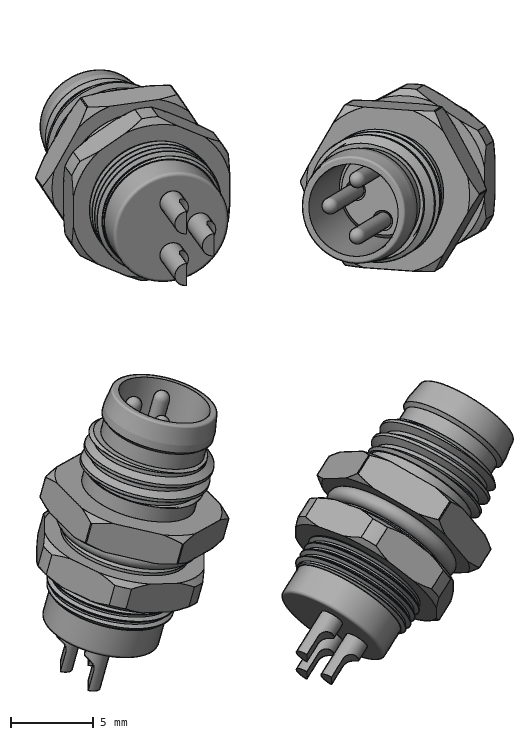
import cadquery as cq
import math


nose_tip_radius = 3.33
nose_radius = 3.5
nose_tip_round = 0.15
nose_taper_end = 1.22
nose_straight_end = 1.73
neck_start = 1.96
neck_radius = 3.25
thread_major_radius = 4.0
collar_radius = 3.57
barrel_radius = 3.5
rear_radius = 3.65
rear_end = 16.0
rear_round = 0.2

hex_across_flats = 10.0
hex_thickness = 2.0
hex_chamfer_length = 0.31
flange_start = 6.5
flange_corner_radius = 5.75
flange_face_radius = 5.24
nut_start = 10.0
nut_corner_radius = 5.495
nut_face_radius = 5.1

mating_thread_start = 3.0
mating_thread_end = 5.5
mating_pitch = 1.0
mating_root_radius = 3.47
mating_crest_width = 0.2
mating_root_width = 0.25
mating_crest_at_top = 3.35

shank_start = 9.55
shank_chamfer = 0.25
shank_end = nut_start + 0.2 * hex_thickness
mounting_thread_start = nut_start + 0.3 * hex_thickness
mounting_thread_end = 14.0
mounting_pitch = 0.5
mounting_root_radius = 3.75
mounting_crest_width = 0.06
mounting_root_width = 0.1
mounting_crest_at_top = 9.5

thread_end_chamfer = 0.3
thread_blank_clearance = 0.2
ridge_embed = 0.1

ring_section_radius = 0.51
ring_centre_radius = 4.0
ring_x = 8.99

socket_radius = 2.87
socket_floor_radius = 2.65
socket_depth = 5.5
contact_circle_radius = 1.75
contact_pin_radius = 0.5
contact_pin_tip = 0.25
contact_countersink_radius = 0.63
contact_tail_radius = 0.75
contact_tail_end = 19.0
contact_angles = (0, 90, 180)
solder_cut_start = 17.0
solder_cut_radius = 0.65


def revolve_about_x(points):
    """Solid of revolution from a closed (x, radius) outline."""
    outline = cq.Workplane("XY").polyline(points).close()
    return outline.revolve(360, (0, 0, 0), (1, 0, 0))


def cylinder_x(start, end, radius, y=0.0, z=0.0):
    """Cylinder parallel to X between two stations."""
    plane = cq.Workplane("YZ", origin=(start, 0, 0))
    return plane.center(y, z).circle(radius).extrude(end - start)


def make_housing():
    """Nose, neck, collar, shank, mounting barrel core and rear sleeve with rounded rims."""
    rim_middle = 1 - math.sqrt(0.5)
    outline = (
        cq.Workplane("XY")
        .lineTo(0, nose_tip_radius - nose_tip_round)
        .threePointArc(
            (nose_tip_round * rim_middle, nose_tip_radius - nose_tip_round * rim_middle),
            (nose_tip_round, nose_tip_radius),
        )
        .lineTo(nose_taper_end, nose_radius)
        .lineTo(nose_straight_end, nose_radius)
        .lineTo(neck_start, neck_radius)
        .lineTo(mating_thread_end, neck_radius)
        .lineTo(mating_thread_end, collar_radius)
        .lineTo(flange_start, collar_radius)
        .lineTo(flange_start, barrel_radius)
        .lineTo(shank_start, barrel_radius)
        .lineTo(shank_start, thread_major_radius - shank_chamfer)
        .lineTo(shank_start + shank_chamfer, thread_major_radius)
        .lineTo(shank_end, thread_major_radius)
        .lineTo(shank_end, barrel_radius)
        .lineTo(mounting_thread_end, barrel_radius)
        .lineTo(mounting_thread_end, rear_radius)
        .lineTo(rear_end - rear_round, rear_radius)
        .threePointArc(
            (rear_end - rear_round * rim_middle, rear_radius - rear_round * rim_middle),
            (rear_end, rear_radius - rear_round),
        )
        .lineTo(rear_end, 0)
        .close()
    )
    return outline.revolve(360, (0, 0, 0), (1, 0, 0))


def thread_envelope(start, end):
    """Blank whose 45 degree end cones trim a thread; it stands clear of the crests."""
    outer_radius = thread_major_radius + thread_blank_clearance
    cone_length = thread_end_chamfer + thread_blank_clearance
    return revolve_about_x([
        (start, 0),
        (start, outer_radius - cone_length),
        (start + cone_length, outer_radius),
        (end - cone_length, outer_radius),
        (end, outer_radius - cone_length),
        (end, 0),
    ])


def make_thread(start, end, pitch, root_radius, crest_width, root_width, crest_at_top):
    """Right-handed threaded rod, trimmed conically at both ends.

    crest_at_top is an axial position where a crest passes the +Z side.
    """
    turns_before = math.ceil((crest_at_top - start) / pitch) + 1
    first_crest = crest_at_top - turns_before * pitch
    length = (math.ceil((end - first_crest) / pitch) + 1) * pitch
    foot_half = (pitch - root_width) / 2
    flank_slope = (foot_half - crest_width / 2) / (thread_major_radius - root_radius)
    embed_half = min(foot_half + ridge_embed * flank_slope, 0.49 * pitch)
    helix = cq.Wire.makeHelix(pitch, length, root_radius)
    ridge = (
        cq.Workplane("XZ")
        .polyline([
            (root_radius - ridge_embed, -embed_half),
            (thread_major_radius, -crest_width / 2),
            (thread_major_radius, crest_width / 2),
            (root_radius - ridge_embed, embed_half),
        ])
        .close()
        .sweep(cq.Workplane(obj=helix), isFrenet=True)
    )
    ridge = ridge.rotate((0, 0, 0), (0, 1, 0), 90)
    ridge = ridge.rotate((0, 0, 0), (1, 0, 0), 180)
    core = cylinder_x(first_crest - pitch, first_crest + length + pitch, root_radius)
    rod = core.union(ridge.translate((first_crest, 0, 0)), clean=False)
    return rod.intersect(thread_envelope(start, end), clean=False)


def make_mating_thread():
    """Coarse thread between the neck and the collar."""
    return make_thread(
        mating_thread_start, mating_thread_end, mating_pitch, mating_root_radius,
        mating_crest_width, mating_root_width, mating_crest_at_top,
    )


def make_mounting_thread():
    """Fine thread that carries the nut."""
    return make_thread(
        mounting_thread_start, mounting_thread_end, mounting_pitch, mounting_root_radius,
        mounting_crest_width, mounting_root_width, mounting_crest_at_top,
    )


def make_hexagon(start, corner_radius, face_radius, turn):
    """Hexagon with rounded corners and both faces chamfered conically."""
    end = start + hex_thickness
    corner_diameter = hex_across_flats / math.cos(math.pi / 6)
    prism = cq.Workplane("YZ", origin=(start, 0, 0)).polygon(6, corner_diameter).extrude(hex_thickness)
    prism = prism.rotate((0, 0, 0), (1, 0, 0), turn)
    envelope = revolve_about_x([
        (start, 0),
        (start, face_radius),
        (start + hex_chamfer_length, corner_radius),
        (end - hex_chamfer_length, corner_radius),
        (end, face_radius),
        (end, 0),
    ])
    return prism.intersect(envelope)


def make_sealing_ring():
    """Round-section ring seated against the flange."""
    ring = cq.Workplane("XY").center(ring_x, ring_centre_radius).circle(ring_section_radius)
    return ring.revolve(360, (-1, -ring_centre_radius, 0), (1, -ring_centre_radius, 0))


def make_socket():
    """Blind socket in the nose; the insulator at its floor has a bevelled rim."""
    bevel = socket_radius - socket_floor_radius
    return revolve_about_x([
        (0, 0),
        (0, socket_radius),
        (socket_depth + bevel, socket_radius),
        (socket_depth, socket_floor_radius),
        (socket_depth, 0),
    ])


def contact_position(angle):
    """Y and Z of the contact at an angle measured from +Z towards +Y."""
    y = contact_circle_radius * math.sin(math.radians(angle))
    z = contact_circle_radius * math.cos(math.radians(angle))
    return y, z


def make_countersink(angle):
    """45 degree cone in the socket floor around one contact."""
    y, z = contact_position(angle)
    cone = revolve_about_x([
        (socket_depth, 0),
        (socket_depth, contact_countersink_radius),
        (socket_depth + contact_countersink_radius, 0),
    ])
    return cone.translate((0, y, z))


def make_contact(angle):
    """Round-nosed pin in front and a half-cut solder tail behind."""
    y, z = contact_position(angle)
    dome_x = contact_pin_tip + contact_pin_radius
    dome_middle = contact_pin_radius * math.sqrt(0.5)
    pin = (
        cq.Workplane("XY")
        .moveTo(contact_pin_tip, 0)
        .threePointArc((dome_x - dome_middle, dome_middle), (dome_x, contact_pin_radius))
        .lineTo(rear_end, contact_pin_radius)
        .lineTo(rear_end, 0)
        .close()
        .revolve(360, (0, 0, 0), (1, 0, 0))
        .translate((0, y, z))
    )
    tail = cylinder_x(rear_end - contact_tail_radius, contact_tail_end, contact_tail_radius, y, z)
    cut_length = contact_tail_end - solder_cut_start
    cut = (
        cq.Workplane("XY")
        .box(cut_length, contact_tail_radius, 2 * contact_tail_radius, centered=(False, False, True))
        .edges("|Z and <X and <Y")
        .fillet(solder_cut_radius)
        .translate((solder_cut_start, y, z))
    )
    return pin.union(tail.cut(cut))


result = make_housing()
result = result.union(make_hexagon(flange_start, flange_corner_radius, flange_face_radius, 0))
result = result.union(make_sealing_ring())
result = result.union(make_hexagon(nut_start, nut_corner_radius, nut_face_radius, 30))
result = result.union(make_mating_thread(), clean=False)
result = result.union(make_mounting_thread(), clean=False)
result = result.cut(make_socket(), clean=False)
for contact_angle in contact_angles:
    result = result.cut(make_countersink(contact_angle), clean=False)
    result = result.union(make_contact(contact_angle), clean=False)